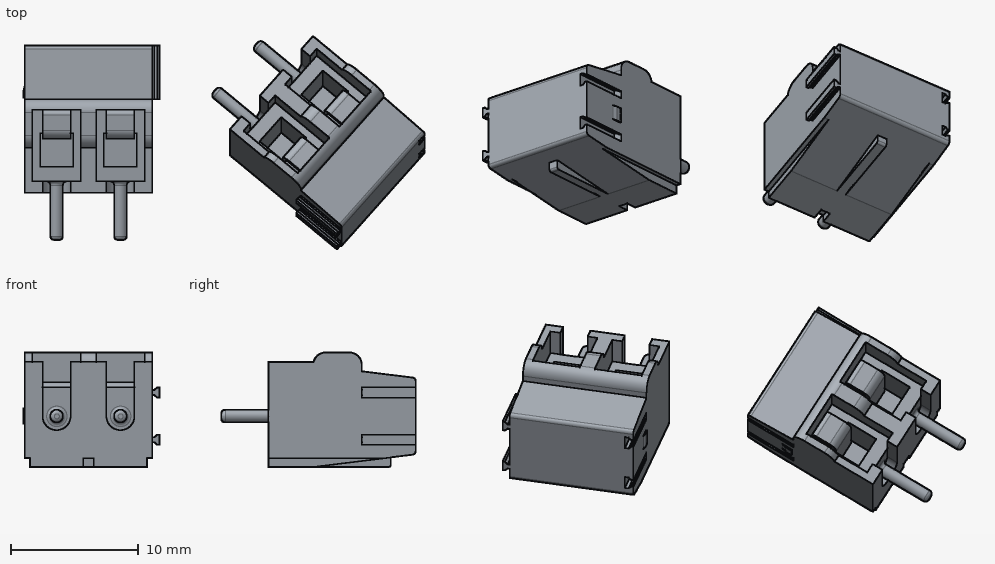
import cadquery as cq
import math


pole_count = 2
pitch = 5.0
pole_xs = [(i - (pole_count - 1) / 2) * pitch for i in range(pole_count)]
pin_axis_z = 4.0

housing_width = pole_count * pitch
housing_half_width = housing_width / 2
housing_depth = 11.55
shelf_height = 8.25
hump_height = 9.0
hump_front_y = 3.5
hump_rear_y = 7.33
hump_radius = 1.0
tail_half_height = 3.0
tail_taper = math.tan(math.radians(7))
tail_edge_radius = 0.3

foot_inset = 0.4
foot_height = 0.7
key_width = 0.8
key_rear_y = 9.6
key_edge_radius = 0.2
keyway_length = 1.0

block_width = 3.8
block_length = 5.6
block_front_y = 0.9
block_rear_y = block_front_y + block_length
block_half_height = 2.25
block_top_z = pin_axis_z + block_half_height
block_bottom_z = pin_axis_z - block_half_height
wire_hole_size = 2.6
wire_hole_front_y = 2.05
wire_hole_rear_y = wire_hole_front_y + wire_hole_size

pin_radius = 0.5
pin_length = 3.7
pin_tip_radius = 0.3
pin_root_radius = 0.3
pin_slot_width = 2.2

guard_width = 2.2
guard_thickness = 0.4
guard_bend_radius = 0.65
guard_front_y = wire_hole_rear_y - guard_thickness
guard_top_z = block_top_z + guard_thickness

dovetail_length = housing_depth - hump_rear_y
dovetail_zs = [pin_axis_z - 1.85, pin_axis_z + 1.85]
dovetail_neck_half_height = 0.2
dovetail_head_half_height = 0.4
dovetail_neck_depth = 0.15
dovetail_flare_depth = 0.38
dovetail_depth = 0.57
dovetail_clearance = 0.1

bump_height = 1.2
bump_front_y = 7.45
bump_ramp_y = 8.0
bump_rear_y = 8.36
bump_projection = 0.1


def box(x_min, x_max, y_min, y_max, z_min, z_max):
    return cq.Workplane("XY").box(
        x_max - x_min, y_max - y_min, z_max - z_min, centered=False
    ).translate((x_min, y_min, z_min))


def side_extrusion(profile, width, center_x):
    """Extrude a closed YZ profile along X, centred on center_x."""
    return profile.extrude(width / 2, both=True).translate((center_x, 0, 0))


def housing_body():
    """Outer shape: tapered tail, rounded hump and front shelf."""
    arc_z = hump_height - hump_radius
    front_arc_y = hump_front_y + hump_radius
    rear_arc_y = hump_rear_y - hump_radius
    shelf_rise = shelf_height - arc_z
    shelf_end_y = front_arc_y - math.sqrt(hump_radius**2 - shelf_rise**2)
    diagonal = hump_radius * math.sqrt(0.5)
    front_mid_angle = (math.asin(shelf_rise / hump_radius) + math.pi / 2) / 2
    front_mid = (
        front_arc_y - hump_radius * math.cos(front_mid_angle),
        arc_z + hump_radius * math.sin(front_mid_angle),
    )
    tail_top_z = pin_axis_z + tail_half_height
    tail_bottom_z = pin_axis_z - tail_half_height

    profile = (
        cq.Workplane("YZ")
        .moveTo(0, 0)
        .lineTo(0, shelf_height)
        .lineTo(shelf_end_y, shelf_height)
        .threePointArc(front_mid, (front_arc_y, hump_height))
        .lineTo(rear_arc_y, hump_height)
        .threePointArc((rear_arc_y + diagonal, arc_z + diagonal), (hump_rear_y, arc_z))
        .lineTo(hump_rear_y, tail_top_z + dovetail_length * tail_taper)
        .lineTo(housing_depth, tail_top_z)
        .lineTo(housing_depth, tail_bottom_z)
        .lineTo(housing_depth - tail_bottom_z / tail_taper, 0)
        .close()
    )
    body = side_extrusion(profile, housing_width, 0)
    return body.faces(">Y").edges("|X").fillet(tail_edge_radius)


def foot_side_step(side):
    """Material removed beside the foot; side is -1 for left and +1 for right."""
    outer_x = side * housing_half_width
    inner_x = outer_x - side * foot_inset
    return box(min(outer_x, inner_x), max(outer_x, inner_x), 0, housing_depth, 0, foot_height)


def key():
    """Rail under the tapered tail, continuing the foot's underside to the rear."""
    rail_top_z = block_bottom_z
    rail = box(-key_width / 2, key_width / 2, keyway_length, key_rear_y, 0, rail_top_z)
    return rail.edges("|X and >Y and <Z").fillet(key_edge_radius)


def keyway():
    return box(-key_width / 2, key_width / 2, 0, keyway_length, 0, foot_height)


def dovetail(base_x, center_z, clearance):
    """Dovetail bar along Y that widens away from base_x toward +X."""
    neck = dovetail_neck_half_height + clearance
    head = dovetail_head_half_height + clearance
    depth = dovetail_depth + clearance
    return (
        cq.Workplane("XZ", origin=(base_x, housing_depth, center_z))
        .polyline([
            (0, -neck),
            (dovetail_neck_depth, -neck),
            (dovetail_flare_depth, -head),
            (depth, -head),
            (depth, head),
            (dovetail_flare_depth, head),
            (dovetail_neck_depth, neck),
            (0, neck),
        ])
        .close()
        .extrude(dovetail_length)
    )


def snap_bump():
    """Low bump on the left side with a ramp toward the rear."""
    side_x = -housing_half_width
    return (
        cq.Workplane("XY", origin=(side_x, 0, pin_axis_z))
        .polyline([
            (0, bump_front_y),
            (-bump_projection, bump_front_y),
            (-bump_projection, bump_ramp_y),
            (0, bump_rear_y),
        ])
        .close()
        .extrude(bump_height / 2, both=True)
    )


def block_cavity(x):
    half = block_width / 2
    return box(x - half, x + half, block_front_y, block_rear_y, block_bottom_z, hump_height)


def pin_slot(x):
    """Round-bottomed slot through the front wall, open at the top."""
    half = pin_slot_width / 2
    straight = box(x - half, x + half, 0, block_front_y, pin_axis_z, hump_height)
    round_bottom = (
        cq.Workplane("XZ", origin=(x, block_front_y, pin_axis_z))
        .circle(half)
        .extrude(block_front_y)
    )
    return straight.union(round_bottom)


def make_housing():
    body = housing_body()
    for side in (-1, 1):
        body = body.cut(foot_side_step(side))
    body = body.union(key()).cut(keyway()).union(snap_bump())
    for z in dovetail_zs:
        body = body.union(dovetail(housing_half_width, z, 0))
        body = body.cut(dovetail(-housing_half_width, z, dovetail_clearance))
    for x in pole_xs:
        body = body.cut(block_cavity(x)).cut(pin_slot(x))
    return body


def make_contact(x):
    """Clamp block with a square wire hole and a pin that flares into its front face."""
    half = block_width / 2
    hole_half = wire_hole_size / 2
    block = box(x - half, x + half, block_front_y, block_rear_y, block_bottom_z, block_top_z)
    wire_hole = box(
        x - hole_half, x + hole_half, wire_hole_front_y, wire_hole_rear_y, block_bottom_z, block_top_z
    )

    full_length = block_front_y + pin_length
    root_arc_shift = pin_root_radius * (1 - math.sqrt(0.5))
    tip_arc_shift = pin_tip_radius * (1 - math.sqrt(0.5))
    half_section = (
        cq.Workplane("XY", origin=(x, block_front_y, pin_axis_z))
        .moveTo(0, 0)
        .lineTo(pin_radius + pin_root_radius, 0)
        .threePointArc(
            (pin_radius + root_arc_shift, -root_arc_shift), (pin_radius, -pin_root_radius)
        )
        .lineTo(pin_radius, pin_tip_radius - full_length)
        .threePointArc(
            (pin_radius - tip_arc_shift, tip_arc_shift - full_length),
            (pin_radius - pin_tip_radius, -full_length),
        )
        .lineTo(0, -full_length)
        .close()
    )
    pin = half_section.revolve(360, (0, 0, 0), (0, 1, 0))
    return block.cut(wire_hole).union(pin)


def make_wire_guard(x):
    """Strip lying on the block, bent down against the rear wall of the wire hole."""
    rear_arc_y = block_rear_y - guard_thickness
    diagonal = guard_thickness * math.sqrt(0.5)
    profile = (
        cq.Workplane("YZ")
        .moveTo(block_rear_y, block_top_z)
        .threePointArc((rear_arc_y + diagonal, block_top_z + diagonal), (rear_arc_y, guard_top_z))
        .lineTo(guard_front_y, guard_top_z)
        .lineTo(guard_front_y, block_bottom_z)
        .lineTo(wire_hole_rear_y, block_bottom_z)
        .lineTo(wire_hole_rear_y, block_top_z)
        .close()
    )
    strip = side_extrusion(profile, guard_width, x)
    return strip.edges("|X and >Z and <Y").fillet(guard_bend_radius)


housing = make_housing()
contacts = [make_contact(x) for x in pole_xs]
wire_guards = [make_wire_guard(x) for x in pole_xs]

bodies = [housing] + contacts + wire_guards
result = cq.Compound.makeCompound([body.val() for body in bodies])